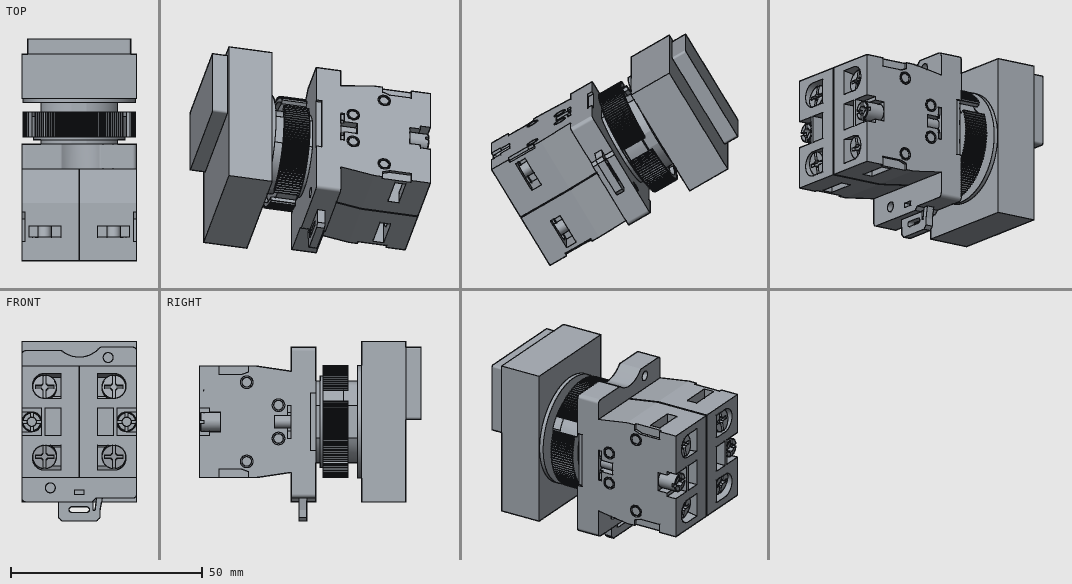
import cadquery as cq
import math


WIDTH = 30.0
LENGTH = 58.0
HALF_WIDTH = WIDTH / 2
HEAD_HEIGHT = 42.0
TOTAL_HEIGHT = 46.95

TAPER_START = 15.0
PLATE_FRONT = 24.0
PLATE_REAR = 30.5
COLLAR_FRONT = 31.6
NUT_FRONT = 32.3
COLLAR_REAR = 37.7
NUT_REAR = 38.9
FLANGE_FRONT = 41.3
HEAD_FRONT = 42.4
HEAD_REAR = 54.0

CAP_WIDTH = 27.0
CAP_TOP = 19.5
CAP_BOTTOM = 0.6
CAP_CORNER_RADIUS = 0.6

NECK_DIAMETER = 21.8
NECK_WIDTH = 20.1
NECK_HEIGHT = 21.45
FLANGE_DIAMETER = 29.5
COLLAR_DIAMETER = 26.6
COLLAR_FACE_DIAMETER = 24.0
NUT_DIAMETER = 29.5
KNURL_COUNT = 120
KNURL_DEPTH = 0.4
NOTCH_WIDTH = 3.75
NOTCH_ANGLES = (30, 150, 270)

PLATE_LOW_TOP = 18.6
PLATE_HIGH_TOP = 19.5
PLATE_BOTTOM = -20.9
PLATE_STEP_BOTTOM = -19.95
PLATE_STEP_START = 3.4
PLATE_CORNER_RADIUS = 1.0
DIP_RADIUS = 7.0
DIP_BOTTOM = 16.9
DIP_EDGE_RADIUS = 0.7
PLATE_HOLE_DIAMETER = 2.6
PLATE_HOLES = ((7.55, 16.8), (-7.55, -17.25))
WINDOW_WIDTH = 2.6
WINDOW_HEIGHT = 1.2
WINDOW_Z = -18.4
PLATE_RECESS_LENGTH = 1.4
PLATE_RECESS_HEIGHT = 15.0
PLATE_RECESS_DEPTH = 0.7

TAB_FRONT = 26.05
TAB_THICKNESS = 2.05
TAB_HALF_WIDTH = 5.45
TAB_CHAMFER = 0.95
TAB_ROOT_Z = -18.0
TAB_BEND_Z = -23.1
TAB_ARM_X = 6.05
TAB_SLOT_LENGTH = 5.3
TAB_SLOT_WIDTH = 1.4
TAB_SLOT_Z = -22.95
SLIT_LEFT = 3.65
SLIT_BOTTOM_RIGHT = 4.1
SLIT_TOP_RIGHT = 4.5

BLOCK_HALF_HEIGHT = 14.6
BLOCK_REAR_HALF_HEIGHT = 13.25
SEAM_WIDTH = 0.25
SEAM_DEPTH = 0.1

TERMINAL_X = 9.05
TERMINAL_Z = 9.4
TERMINAL_TILT = 10.0
POCKET_DIAMETER = 6.4
POCKET_INNER_X = 4.8
POCKET_DEPTH = 6.6
SCREW_HEAD_DIAMETER = 6.2
SCREW_HEAD_DEPTH = 1.3
SCREW_HEAD_THICKNESS = 2.4
SCREW_SHANK_DIAMETER = 3.5
SCREW_SHANK_LENGTH = 7.0
DRIVE_WIDTH = 0.8
DRIVE_SHORT = 4.8
DRIVE_CENTER_SIDE = 1.8
DRIVE_CENTER_TURN = 45.0
DRIVE_DEPTH = 1.0
WIRE_SLOT_FRONT = 6.2
WIRE_SLOT_REAR = 9.1
WIRE_SLOT_OUTER_X = 13.1
WIRE_SLOT_FLOOR_Z = 5.0

MIDDLE_HEIGHT = 7.1
MIDDLE_OUTER_X = 8.9
MIDDLE_DEPTH = 5.0
SIDE_RECESS_INNER_X = 9.8
SIDE_RECESS_DEPTH = 2.7
SIDE_SCREW_X = 12.4
SIDE_SCREW_DIAMETER = 5.0
SIDE_SCREW_FRONT = 0.3
SIDE_SCREW_CHAMFER = 0.2
SIDE_SCREW_HOLE_DIAMETER = 2.4
SIDE_SCREW_HOLE_END = 2.2
SIDE_SCREW_DRIVE_DEPTH = 0.9
SIDE_SLOT_HEIGHT = 5.2
SIDE_SLOT_DEPTH = 5.5

GRIP_FRONT = 5.1
GRIP_BEND = 10.9
GRIP_REAR = 12.8
GRIP_FLOOR_Z = 12.3
GRIP_REAR_Z = 13.0
GRIP_DEPTH = 0.8
RIVET_OUTER_DIAMETER = 3.3
RIVET_INNER_DIAMETER = 2.5
RIVET_DEPTH = 0.8
RIVETS = ((20.7, 4.36), (12.4, 10.35))
LATCH_FRONT = 23.1
LATCH_HEIGHT = 8.6
LATCH_DEPTH = 0.5
LATCH_INNER_HEIGHT = 4.8
LATCH_INNER_DEPTH = 0.7
PIN_DIAMETER = 3.3
PIN_FRONT = 19.6
PIN_RECESS_DEPTH = 2.6

OVERLAP = 1.0


def box(x0, x1, y0, y1, z0, z1):
    """Box between two opposite corners."""
    return cq.Workplane("XY").box(x1 - x0, y1 - y0, z1 - z0, centered=False).translate((x0, y0, z0))


def facing_front(y):
    """Sketch plane at station y: local x is X, local y is Z, extrusion runs toward -Y."""
    return cq.Workplane("XZ", origin=(0, y, 0))


def cylinder(diameter, y0, y1, x=0.0, z=0.0):
    """Cylinder along Y from y0 to y1."""
    return facing_front(y1).center(x, z).circle(diameter / 2).extrude(y1 - y0)


def mirrored(shape, plane):
    """The shape together with its mirror image."""
    return shape.union(shape.mirror(plane))


def make_head():
    half_height = HEAD_HEIGHT / 2
    head = box(-HALF_WIDTH, HALF_WIDTH, HEAD_FRONT, HEAD_REAR, -half_height, half_height)
    cap = box(-CAP_WIDTH / 2, CAP_WIDTH / 2, HEAD_REAR, LENGTH, CAP_BOTTOM, CAP_TOP)
    cap = cap.edges("|Y").fillet(CAP_CORNER_RADIUS)
    return head.union(cap)


def make_neck():
    neck = cylinder(NECK_DIAMETER, PLATE_REAR, HEAD_FRONT)
    flats = box(-NECK_WIDTH / 2, NECK_WIDTH / 2, PLATE_REAR, HEAD_FRONT, -NECK_HEIGHT / 2, NECK_HEIGHT / 2)
    return neck.intersect(flats).union(cylinder(FLANGE_DIAMETER, FLANGE_FRONT, HEAD_FRONT))


def make_nut():
    tip_radius = NUT_DIAMETER / 2
    root_radius = tip_radius - KNURL_DEPTH
    corner_radii = (tip_radius, tip_radius, root_radius, root_radius)
    corner_count = KNURL_COUNT * len(corner_radii)
    points = []
    for i in range(corner_count):
        angle = 2 * math.pi * i / corner_count
        radius = corner_radii[i % len(corner_radii)]
        points.append((radius * math.cos(angle), radius * math.sin(angle)))
    nut = facing_front(NUT_REAR).polyline(points).close().extrude(NUT_REAR - NUT_FRONT)
    for angle in NOTCH_ANGLES:
        notch = box(NECK_WIDTH / 2, NUT_DIAMETER, NUT_FRONT, NUT_REAR, -NOTCH_WIDTH / 2, NOTCH_WIDTH / 2)
        nut = nut.cut(notch.rotate((0, 0, 0), (0, -1, 0), angle))
    nut = nut.cut(cylinder(COLLAR_DIAMETER, NUT_FRONT, NUT_REAR))
    collar = cylinder(COLLAR_DIAMETER, NUT_FRONT, COLLAR_REAR)
    collar_face = cylinder(COLLAR_FACE_DIAMETER, COLLAR_FRONT, NUT_FRONT)
    return nut.union(collar).union(collar_face)


def make_plate():
    dip_center_z = DIP_BOTTOM + DIP_RADIUS
    dip_left = -math.sqrt(DIP_RADIUS**2 - (dip_center_z - PLATE_LOW_TOP) ** 2)
    dip_right = math.sqrt(DIP_RADIUS**2 - (dip_center_z - PLATE_HIGH_TOP) ** 2)
    step_end = PLATE_STEP_START + PLATE_STEP_BOTTOM - PLATE_BOTTOM
    thickness = PLATE_REAR - PLATE_FRONT
    plate = (
        facing_front(PLATE_REAR)
        .moveTo(-HALF_WIDTH, PLATE_BOTTOM)
        .lineTo(-HALF_WIDTH, PLATE_LOW_TOP)
        .lineTo(dip_left, PLATE_LOW_TOP)
        .threePointArc((0, DIP_BOTTOM), (dip_right, PLATE_HIGH_TOP))
        .lineTo(HALF_WIDTH, PLATE_HIGH_TOP)
        .lineTo(HALF_WIDTH, PLATE_STEP_BOTTOM)
        .lineTo(step_end, PLATE_STEP_BOTTOM)
        .lineTo(PLATE_STEP_START, PLATE_BOTTOM)
        .close()
        .extrude(thickness)
    )
    plate = plate.edges("|Y and (<X or >X)").fillet(PLATE_CORNER_RADIUS)
    for x, z in ((dip_left, PLATE_LOW_TOP), (dip_right, PLATE_HIGH_TOP)):
        edge = cq.selectors.NearestToPointSelector((x, (PLATE_FRONT + PLATE_REAR) / 2, z))
        plate = plate.edges("|Y").edges(edge).fillet(DIP_EDGE_RADIUS)
    for x, z in PLATE_HOLES:
        plate = plate.cut(cylinder(PLATE_HOLE_DIAMETER, PLATE_FRONT, PLATE_REAR, x, z))
    window = facing_front(TAB_FRONT).center(0, WINDOW_Z).rect(WINDOW_WIDTH, WINDOW_HEIGHT)
    plate = plate.cut(window.extrude(TAB_FRONT - PLATE_FRONT))
    recess = box(
        -HALF_WIDTH,
        -HALF_WIDTH + PLATE_RECESS_DEPTH,
        PLATE_REAR - PLATE_RECESS_LENGTH,
        PLATE_REAR,
        -PLATE_RECESS_HEIGHT / 2,
        PLATE_RECESS_HEIGHT / 2,
    )
    return plate.cut(mirrored(recess, "YZ"))


def make_tab():
    tab_rear = TAB_FRONT + TAB_THICKNESS
    tab_bottom = HEAD_HEIGHT / 2 - TOTAL_HEIGHT
    chamfer_x = TAB_HALF_WIDTH - TAB_CHAMFER
    chamfer_z = tab_bottom + TAB_CHAMFER
    outline = [
        (-TAB_HALF_WIDTH, TAB_ROOT_Z),
        (-TAB_HALF_WIDTH, chamfer_z),
        (-chamfer_x, tab_bottom),
        (chamfer_x, tab_bottom),
        (TAB_HALF_WIDTH, chamfer_z),
        (TAB_HALF_WIDTH, TAB_BEND_Z),
        (TAB_ARM_X, PLATE_STEP_BOTTOM),
        (TAB_ARM_X, TAB_ROOT_Z),
    ]
    slit = [
        (SLIT_LEFT, TAB_BEND_Z),
        (SLIT_BOTTOM_RIGHT, TAB_BEND_Z),
        (SLIT_TOP_RIGHT, PLATE_STEP_BOTTOM),
        (SLIT_LEFT, PLATE_STEP_BOTTOM),
    ]
    tab = facing_front(tab_rear).polyline(outline).close().extrude(TAB_THICKNESS)
    slot = facing_front(tab_rear).center(0, TAB_SLOT_Z).slot2D(TAB_SLOT_LENGTH, TAB_SLOT_WIDTH)
    tab = tab.cut(slot.extrude(TAB_THICKNESS))
    return tab.cut(facing_front(tab_rear).polyline(slit).close().extrude(TAB_THICKNESS))


def make_block_body():
    profile = [
        (0, -BLOCK_HALF_HEIGHT),
        (TAPER_START, -BLOCK_HALF_HEIGHT),
        (PLATE_FRONT, -BLOCK_REAR_HALF_HEIGHT),
        (PLATE_FRONT, BLOCK_REAR_HALF_HEIGHT),
        (TAPER_START, BLOCK_HALF_HEIGHT),
        (0, BLOCK_HALF_HEIGHT),
    ]
    body = cq.Workplane("YZ", origin=(-HALF_WIDTH, 0, 0)).polyline(profile).close().extrude(WIDTH)
    core = (
        cq.Workplane("YZ", origin=(-SEAM_WIDTH / 2, 0, 0))
        .polyline(profile)
        .close()
        .offset2D(-SEAM_DEPTH)
        .extrude(SEAM_WIDTH)
    )
    core = core.union(core.translate((0, SEAM_DEPTH, 0)))
    seam = box(
        -SEAM_WIDTH / 2, SEAM_WIDTH / 2, 0, PLATE_FRONT, -BLOCK_HALF_HEIGHT, BLOCK_HALF_HEIGHT
    )
    return body.cut(seam.cut(core))


def tilted(shape):
    """Turn a shape about the X axis so that its front end points toward +Z."""
    return shape.rotate((0, 0, 0), (-1, 0, 0), TERMINAL_TILT)


def terminal_cut():
    """Tilted screw pocket and wire slot of the upper left terminal."""
    radius = POCKET_DIAMETER / 2
    pocket = cylinder(POCKET_DIAMETER, -OVERLAP, POCKET_DEPTH)
    side_length = TERMINAL_X - POCKET_INNER_X
    pocket = pocket.union(box(0, side_length, -OVERLAP, POCKET_DEPTH, -radius, radius))
    pocket = tilted(pocket).translate((-TERMINAL_X, 0, TERMINAL_Z))
    wire_slot = box(
        -WIRE_SLOT_OUTER_X,
        -POCKET_INNER_X,
        WIRE_SLOT_FRONT,
        WIRE_SLOT_REAR,
        WIRE_SLOT_FLOOR_Z,
        BLOCK_HALF_HEIGHT,
    )
    return pocket.union(wire_slot)


def terminal_screw():
    """Cross-slotted screw of the upper left terminal, tilted toward the nearer outer face."""
    half_drive = DRIVE_WIDTH / 2
    head_radius = SCREW_HEAD_DIAMETER / 2
    screw = cylinder(SCREW_HEAD_DIAMETER, 0, SCREW_HEAD_THICKNESS)
    screw = screw.union(
        cylinder(SCREW_SHANK_DIAMETER, SCREW_HEAD_THICKNESS, SCREW_HEAD_THICKNESS + SCREW_SHANK_LENGTH)
    )
    screw = screw.cut(box(-half_drive, half_drive, 0, DRIVE_DEPTH, -head_radius, head_radius))
    screw = screw.cut(box(-DRIVE_SHORT / 2, DRIVE_SHORT / 2, 0, DRIVE_DEPTH, -half_drive, half_drive))
    half_center = DRIVE_CENTER_SIDE / 2
    center = box(-half_center, half_center, 0, DRIVE_DEPTH, -half_center, half_center)
    screw = screw.cut(center.rotate((0, 0, 0), (0, 1, 0), DRIVE_CENTER_TURN))
    tilt = math.radians(TERMINAL_TILT)
    shift_y = SCREW_HEAD_DEPTH * math.cos(tilt)
    shift_z = -SCREW_HEAD_DEPTH * math.sin(tilt)
    return tilted(screw).translate((-TERMINAL_X, shift_y, TERMINAL_Z + shift_z))


def middle_cut():
    """Left middle pocket, side recess and clearance slot of the side screw."""
    half_height = MIDDLE_HEIGHT / 2
    half_slot = SIDE_SLOT_HEIGHT / 2
    pocket = box(-MIDDLE_OUTER_X, -POCKET_INNER_X, 0, MIDDLE_DEPTH, -half_height, half_height)
    recess = box(-HALF_WIDTH, -SIDE_RECESS_INNER_X, 0, SIDE_RECESS_DEPTH, -half_height, half_height)
    slot = box(-HALF_WIDTH, -SIDE_SCREW_X, 0, SIDE_SLOT_DEPTH, -half_slot, half_slot)
    hole = cylinder(SIDE_SLOT_HEIGHT, 0, SIDE_SLOT_DEPTH, -SIDE_SCREW_X)
    return pocket.union(recess).union(slot).union(hole)


def side_screw():
    """Left side screw with a cross slot and a center hole in its end."""
    radius = SIDE_SCREW_DIAMETER / 2
    half_drive = DRIVE_WIDTH / 2
    drive_end = SIDE_SCREW_FRONT + SIDE_SCREW_DRIVE_DEPTH
    screw = cylinder(SIDE_SCREW_DIAMETER, SIDE_SCREW_FRONT, SIDE_SLOT_DEPTH + OVERLAP)
    screw = screw.faces("<Y").chamfer(SIDE_SCREW_CHAMFER)
    screw = screw.cut(box(-half_drive, half_drive, 0, drive_end, -radius, radius))
    screw = screw.cut(box(-radius, radius, 0, drive_end, -half_drive, half_drive))
    screw = screw.cut(cylinder(SIDE_SCREW_HOLE_DIAMETER, 0, SIDE_SCREW_HOLE_END))
    return screw.translate((-SIDE_SCREW_X, 0, 0))


def grip_cut():
    """Shallow recess on the upper edge of the left side."""
    profile = [
        (GRIP_FRONT, BLOCK_HALF_HEIGHT),
        (GRIP_FRONT, GRIP_FLOOR_Z),
        (GRIP_BEND, GRIP_FLOOR_Z),
        (GRIP_REAR, GRIP_REAR_Z),
        (GRIP_REAR, BLOCK_HALF_HEIGHT),
    ]
    return cq.Workplane("YZ", origin=(-HALF_WIDTH, 0, 0)).polyline(profile).close().extrude(GRIP_DEPTH)


def rivet_cut(y, z):
    """Ring groove around a rivet on the left side."""
    ring = cq.Workplane("YZ", origin=(-HALF_WIDTH, 0, 0)).center(y, z)
    return ring.circle(RIVET_OUTER_DIAMETER / 2).circle(RIVET_INNER_DIAMETER / 2).extrude(RIVET_DEPTH)


def latch_cut():
    """Stepped recess where the left side meets the plate, with the pin clearance."""
    left = -HALF_WIDTH
    outer = box(left, left + LATCH_DEPTH, LATCH_FRONT, PLATE_FRONT, -LATCH_HEIGHT / 2, LATCH_HEIGHT / 2)
    half_inner = LATCH_INNER_HEIGHT / 2
    inner = box(left, left + LATCH_INNER_DEPTH, LATCH_FRONT, PLATE_FRONT, -half_inner, half_inner)
    pin_radius = PIN_DIAMETER / 2
    pin_slot = box(left, left + PIN_RECESS_DEPTH, PIN_FRONT, PLATE_FRONT, -pin_radius, pin_radius)
    return outer.union(inner).union(pin_slot)


def make_block():
    cuts = middle_cut().union(latch_cut())
    cuts = cuts.union(mirrored(terminal_cut(), "XY"))
    cuts = cuts.union(mirrored(grip_cut(), "XY"))
    for y, z in RIVETS:
        cuts = cuts.union(mirrored(rivet_cut(y, z), "XY"))
    pin = cylinder(PIN_DIAMETER, PIN_FRONT, PLATE_FRONT, PIN_RECESS_DEPTH - HALF_WIDTH)
    inserts = mirrored(terminal_screw(), "XY").union(side_screw()).union(pin)
    block = make_block_body().cut(mirrored(cuts, "YZ"))
    return block.union(mirrored(inserts, "YZ"))


result = make_head()
for piece in (make_neck(), make_nut(), make_plate(), make_tab(), make_block()):
    result = result.union(piece)